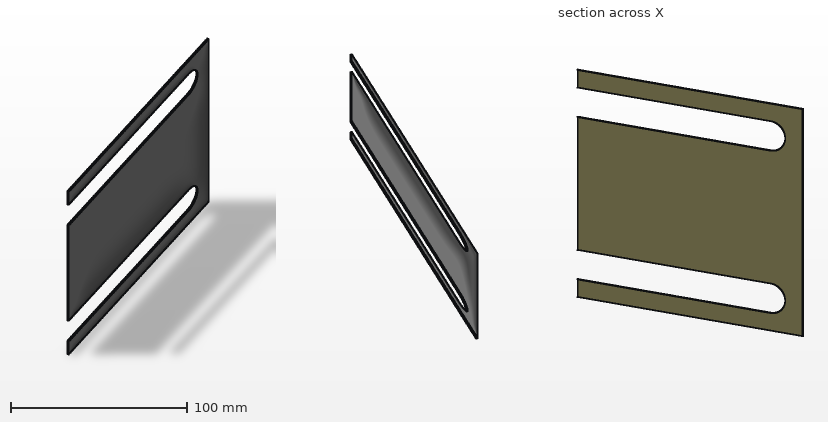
import cadquery as cq

side = 140.0
thickness = 1.0

slot_width = 17.9
slot_inset = 20.0

slot_radius = slot_width / 2
round_end_y = side / 2 - slot_inset
slot_offset_z = side / 2 - slot_inset


def open_slot(center_z):
    """Cutter for one slot, running from the -Y edge to its round end."""
    return (
        cq.Workplane("YZ")
        .moveTo(-side / 2, center_z - slot_radius)
        .lineTo(round_end_y, center_z - slot_radius)
        .threePointArc(
            (round_end_y + slot_radius, center_z),
            (round_end_y, center_z + slot_radius),
        )
        .lineTo(-side / 2, center_z + slot_radius)
        .close()
        .extrude(thickness / 2, both=True)
    )


result = cq.Workplane("YZ").rect(side, side).extrude(thickness / 2, both=True)
for center_z in (-slot_offset_z, slot_offset_z):
    result = result.cut(open_slot(center_z))